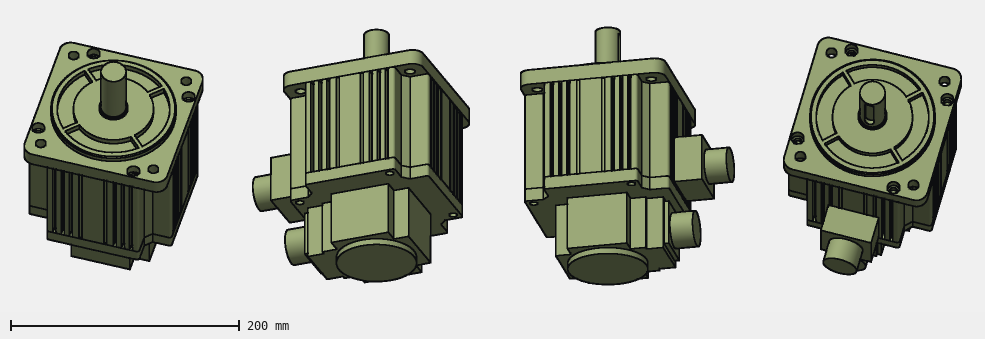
import cadquery as cq


total_height = 225.0
rear_disc_top = 5.6
encoder_top = 53.5
end_cap_top = 65.0
housing_top = 154.4
flange_top = 168.0
boss_top = 173.5

flange_size = 130.0
flange_corner_radius = 10.0
boss_radius = 55.0
boss_chamfer = 1.1
pocket_outer_radius = 49.3
pocket_inner_radius = 35.0
spoke_width = 3.5
mounting_hole_offset = 51.3
mounting_hole_diameter = 9.0

screw_along = 35.0
screw_out = 58.3
screw_hole_diameter = 7.0
screw_head_diameter = 11.0
screw_head_depth = 8.0

shaft_radius = 11.0
collar_radius = 12.5
collar_height = 2.0
collar_chamfer = 0.7
keyway_width = 8.0
keyway_depth = 4.0
keyway_length = 41.5
keyway_end_gap = 2.7

body_half = flange_size / 2
notch_wall = 42.0
notch_bevel_end = 48.0
body_edge_radius = 2.2

groove_width = 2.7
deep_groove = 5.6
shallow_groove = 1.5
grooves = [
    (11.2, shallow_groove),
    (20.0, deep_groove),
    (27.5, deep_groove),
    (34.9, deep_groove),
]

encoder_half = 40.5
encoder_notch = 13.7
socket_block_width = 46.4
socket_block_end = 55.4
rear_disc_radius = 35.0

encoder_connector_z = 30.5
encoder_plate_size = 40.0
encoder_plate_end = 59.6
encoder_plug_diameter = 31.7
encoder_plug_end = 79.9

power_connector_x = -0.7
power_connector_z = 88.6
power_box_width = 45.7
power_box_height = 42.0
power_box_end = 90.0
power_plug_diameter = 30.5
power_plug_end = 110.0

quarter_turns = [0, 90, 180, 270]
Z_AXIS = ((0, 0, 0), (0, 0, 1))


def screw_centres():
    """One screw near each side, each a quarter turn from the last."""
    return [
        (screw_along, -screw_out),
        (screw_out, screw_along),
        (-screw_along, screw_out),
        (-screw_out, -screw_along),
    ]


def cylinder(radius, bottom, top):
    return cq.Workplane("XY").workplane(offset=bottom).circle(radius).extrude(top - bottom)


def block_along_y(x, z, width, height, start, end):
    """Rectangular block centred on (x, z), reaching from Y = start to Y = end."""
    return cq.Workplane("XY").box(width, end - start, height).translate((x, (start + end) / 2, z))


def plug_along_y(x, z, diameter, start, end):
    """Round plug centred on (x, z), reaching from Y = start to Y = end."""
    plane = cq.Plane(origin=(x, start, z), xDir=(1, 0, 0), normal=(0, 1, 0))
    return cq.Workplane(plane).circle(diameter / 2).extrude(end - start)


def boss_pockets():
    """Ring of four pockets in the boss, parted by diagonal spokes."""
    depth = boss_top - flange_top
    ring = cylinder(pocket_outer_radius, flange_top, boss_top).cut(
        cylinder(pocket_inner_radius, flange_top, boss_top)
    )
    spoke = cq.Workplane("XY").box(2 * boss_radius, spoke_width, depth)
    for angle in (45, 135):
        ring = ring.cut(spoke.rotate(*Z_AXIS, angle).translate((0, 0, flange_top + depth / 2)))
    return ring


def make_flange():
    plate = (
        cq.Workplane("XY")
        .workplane(offset=housing_top)
        .rect(flange_size, flange_size)
        .extrude(flange_top - housing_top)
        .edges("|Z")
        .fillet(flange_corner_radius)
    )
    boss = cylinder(boss_radius, flange_top, boss_top).faces(">Z").chamfer(boss_chamfer)
    flange = plate.union(boss).cut(boss_pockets())
    flange = flange.cut(cylinder(shaft_radius, housing_top, boss_top))
    top_face = cq.Workplane("XY").workplane(offset=flange_top)
    screw_points = top_face.pushPoints(screw_centres())
    plate_thickness = flange_top - housing_top
    mounting_holes = (
        top_face.rect(2 * mounting_hole_offset, 2 * mounting_hole_offset, forConstruction=True)
        .vertices()
        .circle(mounting_hole_diameter / 2)
        .extrude(-plate_thickness)
    )
    screw_holes = screw_points.circle(screw_hole_diameter / 2).extrude(-plate_thickness)
    screw_heads = screw_points.circle(screw_head_diameter / 2).extrude(-screw_head_depth)
    return flange.cut(mounting_holes).cut(screw_holes).cut(screw_heads)


def make_shaft():
    """Shaft with a chamfered collar on the boss and a closed keyway facing +Y."""
    shaft = cylinder(shaft_radius, housing_top, total_height)
    collar = cylinder(collar_radius, boss_top, boss_top + collar_height).faces(">Z").chamfer(collar_chamfer)
    keyway_middle = total_height - keyway_end_gap - keyway_length / 2
    keyway_plane = cq.Plane(origin=(0, shaft_radius, keyway_middle), xDir=(0, 0, 1), normal=(0, 1, 0))
    keyway = cq.Workplane(keyway_plane).slot2D(keyway_length, keyway_width).extrude(-keyway_depth)
    return shaft.union(collar).cut(keyway)


def notched_body(bottom, top):
    """Square prism with a bevelled notch at each corner and rounded side edges."""
    height = top - bottom
    body = cq.Workplane("XY").workplane(offset=bottom).rect(2 * body_half, 2 * body_half).extrude(height)
    notch = (
        cq.Workplane("XY")
        .workplane(offset=bottom)
        .moveTo(body_half, notch_wall)
        .lineTo(notch_bevel_end, notch_wall)
        .lineTo(notch_wall, notch_bevel_end)
        .lineTo(notch_wall, body_half)
        .lineTo(body_half, body_half)
        .close()
        .extrude(height)
    )
    for angle in quarter_turns:
        body = body.cut(notch.rotate(*Z_AXIS, angle))
    for side in ("<X", ">X", "<Y", ">Y"):
        body = body.faces(side).edges("|Z").fillet(body_edge_radius)
    return body


def make_housing():
    housing = notched_body(end_cap_top, housing_top)
    height = housing_top - end_cap_top
    for distance, depth in grooves:
        pair = (
            cq.Workplane("XY")
            .workplane(offset=end_cap_top)
            .pushPoints([(-distance, depth / 2 - body_half), (distance, depth / 2 - body_half)])
            .rect(groove_width, depth)
            .extrude(height)
        )
        for angle in quarter_turns:
            housing = housing.cut(pair.rotate(*Z_AXIS, angle))
    return housing


def make_end_cap():
    screw_holes = (
        cq.Workplane("XY")
        .workplane(offset=encoder_top)
        .pushPoints(screw_centres())
        .circle(screw_hole_diameter / 2)
        .extrude(end_cap_top - encoder_top)
    )
    return notched_body(encoder_top, end_cap_top).cut(screw_holes)


def make_encoder_cover():
    """Cross-shaped cover with a block on the +Y side that carries the connector."""
    height = encoder_top - rear_disc_top
    full_width = 2 * encoder_half
    arm_width = full_width - 2 * encoder_notch
    base = cq.Workplane("XY").workplane(offset=rear_disc_top)
    cover = base.rect(full_width, arm_width).extrude(height)
    cover = cover.union(base.rect(arm_width, full_width).extrude(height))
    socket_block = block_along_y(
        0, rear_disc_top + height / 2, socket_block_width, height, 0, socket_block_end
    )
    return cover.union(socket_block)


def make_rear_disc():
    return cylinder(rear_disc_radius, 0, rear_disc_top)


def make_encoder_connector():
    plate = block_along_y(
        0, encoder_connector_z, encoder_plate_size, encoder_plate_size, socket_block_end, encoder_plate_end
    )
    plug = plug_along_y(0, encoder_connector_z, encoder_plug_diameter, encoder_plate_end, encoder_plug_end)
    return plate.union(plug)


def make_power_connector():
    x, z = power_connector_x, power_connector_z
    box = block_along_y(x, z, power_box_width, power_box_height, body_half, power_box_end)
    plug = plug_along_y(x, z, power_plug_diameter, power_box_end, power_plug_end)
    return box.union(plug)


flange = make_flange()
shaft = make_shaft()
housing = make_housing()
end_cap = make_end_cap()
encoder_cover = make_encoder_cover()
rear_disc = make_rear_disc()
encoder_connector = make_encoder_connector()
power_connector = make_power_connector()

result = cq.Compound.makeCompound(
    [
        flange.val(),
        shaft.val(),
        housing.val(),
        end_cap.val(),
        encoder_cover.val(),
        rear_disc.val(),
        encoder_connector.val(),
        power_connector.val(),
    ]
)